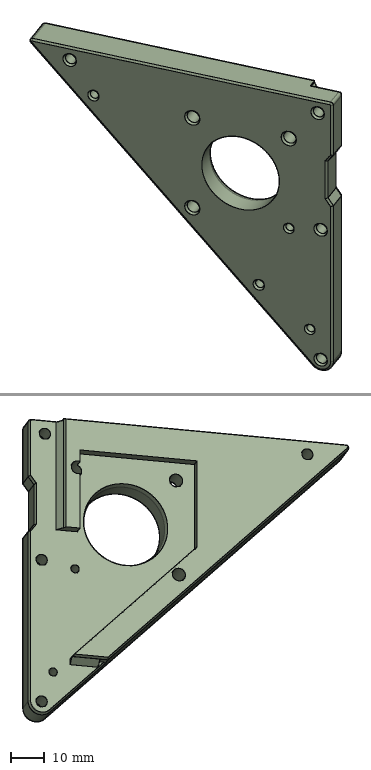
import cadquery as cq
import math

length = 97.9
height = 93.7
thickness = 11.0
floor_thickness = 7.7
corner_radius = 0.93
tip_radius = 3.9

chamfer_width = 0.5
front_chamfer_depth = 0.7
back_chamfer_depth = 1.0

notch_depth = 1.8
notch_flare = 2.35
notch_top = -18.3
notch_bottom = -35.7

motor_x = 68.1
motor_z = -31.0
bore_diameter = 25.0
screw_half_pitch = 15.6
bore_chamfer_depth = 1.6
hole_chamfer_width = 0.44
hole_chamfer_depth = 0.9

bay_half_size = 21.1
bay_right = 83.0
bay_rim = 7.8
step_x = 87.8
side_step_z = -34.8
tip_step_z = -75.5
ramp_run = 1.8
ramp_height = 2.35

dowel_diameter = 2.7
dowel_depth = 5.9

slope_offset = -corner_radius * math.sqrt(2)
overrun = 4.9


def prism(points, y_start, y_end):
    """Extrude an XZ outline from y_start to y_end."""
    plane = cq.Workplane("XZ", origin=(0, y_start, 0))
    return plane.polyline(points).close().extrude(y_start - y_end)


def turned(profile):
    """Revolve a (radius, y) profile about the Y axis."""
    return cq.Workplane("XY").polyline(profile).close().revolve(360, (0, 0, 0), (0, 1, 0))


def chamfered_slab(slab_thickness):
    """Triangular slab with rounded corners, notch and chamfered front and back rims."""
    left = (slope_offset, 0)
    right = (length, 0)
    bottom = (length, slope_offset - length)
    slab = prism([left, right, bottom], 0, slab_thickness)
    top_corners = cq.selectors.BoxSelector(
        (-overrun, -overrun, -overrun), (length + overrun, thickness + overrun, overrun))
    slab = slab.edges("|Y").edges(top_corners).fillet(corner_radius)
    slab = slab.edges("|Y").edges("<Z").fillet(tip_radius)
    notch_x = length - notch_depth
    notch = [
        (length, notch_top),
        (notch_x, notch_top - notch_flare),
        (notch_x, notch_bottom + notch_flare),
        (length, notch_bottom),
    ]
    slab = slab.cut(prism(notch, 0, slab_thickness))
    slab = slab.faces("<Y").chamfer(front_chamfer_depth, chamfer_width)
    return slab.faces(">Y").chamfer(back_chamfer_depth, chamfer_width)


def back_recess():
    """Motor bay, side strip and lower tip, cut just below the floor level."""
    base = floor_thickness - back_chamfer_depth
    rim_offset = slope_offset + bay_rim * math.sqrt(2)
    bay_left = motor_x - bay_half_size
    bay_top = motor_z + bay_half_size
    bay = prism([
        (bay_left, bay_top),
        (bay_right, bay_top),
        (bay_right, side_step_z),
        (length, side_step_z),
        (length, rim_offset - length),
        (bay_left, rim_offset - bay_left),
    ], base, thickness)

    strip = cq.Workplane("XY").polyline([
        (step_x, base),
        (length, base),
        (length, thickness),
        (step_x - chamfer_width, thickness),
        (step_x, thickness - back_chamfer_depth),
    ]).close().extrude(tip_step_z)
    tip = cq.Workplane("YZ").polyline([
        (base, tip_step_z),
        (base, -height),
        (thickness, -height),
        (thickness, tip_step_z + chamfer_width),
        (thickness - back_chamfer_depth, tip_step_z),
    ]).close().extrude(length)
    return bay.union(strip).union(tip)


def wall_ramps():
    """Ramps joining the recess floor to the strip and tip walls, inset from the outer rim."""
    ramp_top = floor_thickness + ramp_height
    strip_ramp = cq.Workplane("XY", origin=(0, 0, -chamfer_width)).polyline([
        (step_x, floor_thickness),
        (step_x + ramp_run, floor_thickness),
        (step_x, ramp_top),
    ]).close().extrude(side_step_z + chamfer_width)
    tip_ramp_start = slope_offset - tip_step_z + ramp_run + chamfer_width * math.sqrt(2)
    tip_ramp_end = slope_offset - tip_step_z + bay_rim * math.sqrt(2)
    tip_ramp = cq.Workplane("YZ", origin=(tip_ramp_start, 0, 0)).polyline([
        (floor_thickness, tip_step_z),
        (floor_thickness, tip_step_z - ramp_run),
        (ramp_top, tip_step_z),
    ]).close().extrude(tip_ramp_end - tip_ramp_start)
    return strip_ramp.union(tip_ramp)


def drill(x, z, diameter, depth):
    """Hole from the front face with a countersunk rim."""
    radius = diameter / 2
    profile = [
        (0, 0),
        (radius + hole_chamfer_width, 0),
        (radius, hole_chamfer_depth),
        (radius, depth),
        (0, depth),
    ]
    return turned(profile).translate((x, 0, z))


result = chamfered_slab(thickness).cut(back_recess())
result = result.union(chamfered_slab(floor_thickness)).union(wall_ramps())

bore_radius = bore_diameter / 2
bore_profile = [
    (0, 0),
    (bore_radius, 0),
    (bore_radius, floor_thickness - bore_chamfer_depth),
    (bore_radius + chamfer_width, floor_thickness),
    (bore_radius + chamfer_width, thickness),
    (0, thickness),
]
result = result.cut(turned(bore_profile).translate((motor_x, 0, motor_z)))

tip_center = (length - tip_radius, tip_radius - height)
motor_right = motor_x + screw_half_pitch
motor_left = motor_x - screw_half_pitch
motor_upper = motor_z + screw_half_pitch
motor_lower = motor_z - screw_half_pitch
through_holes = {
    4.0: [(motor_left, motor_upper), (motor_right, motor_upper), (motor_left, motor_lower)],
    3.4: [(13.0, -4.5), (93.0, -4.5), (tip_center[0], -44.7), tip_center],
    2.5: [(motor_right, motor_lower), (90.5, -80.1)],
}
for hole_diameter, centers in through_holes.items():
    for center_x, center_z in centers:
        result = result.cut(drill(center_x, center_z, hole_diameter, thickness))

for center_x, center_z in [(20.7, -15.1), (74.0, -68.4)]:
    result = result.cut(drill(center_x, center_z, dowel_diameter, dowel_depth))